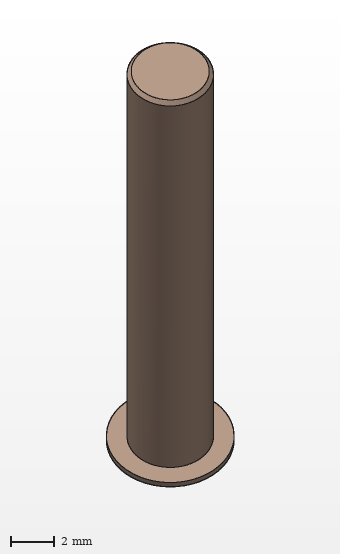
import cadquery as cq

total_length = 25.0
flange_diameter = 5.9
flange_thickness = 0.3
shank_diameter = 4.0
tip_chamfer = 0.2

flange = cq.Workplane("XY").circle(flange_diameter / 2).extrude(flange_thickness)

shank = (
    cq.Workplane("XY")
    .circle(shank_diameter / 2)
    .extrude(total_length)
    .faces(">Z")
    .chamfer(tip_chamfer)
)

result = flange.union(shank)